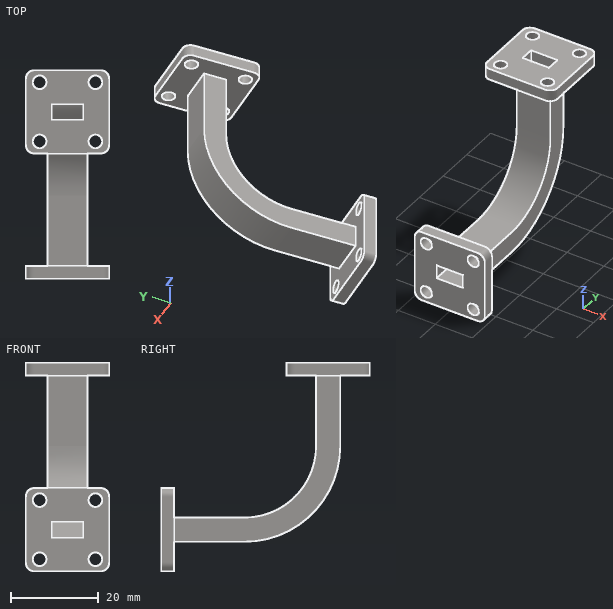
import cadquery as cq

flange_size = 19.05
flange_thickness = 3.0
corner_radius = 2.0
hole_diameter = 3.05
hole_pitch_wide = 12.7
hole_pitch_narrow = 13.5

guide_width = 9.15
guide_height = 5.55
bore_width = 7.15
bore_height = 3.55

overall_length = 47.6
bend_radius = 19.05
leg_end = overall_length - flange_size / 2
leg_length = leg_end - bend_radius


def swept_bar(width, height):
    """Rectangular bar following the bent centreline between the flange faces."""
    first_leg = cq.Workplane("XZ").rect(width, height).extrude(-leg_length)
    bend = (
        cq.Workplane("XZ", origin=(0, leg_length, 0))
        .rect(width, height)
        .revolve(90, (-0.5, bend_radius), (0.5, bend_radius))
    )
    second_leg = (
        cq.Workplane("XY", origin=(0, leg_end, bend_radius))
        .rect(width, height)
        .extrude(leg_length)
    )
    return first_leg.union(bend).union(second_leg)


def flange(plane, outer_face_center):
    """Rounded square flange with four bolt holes, extruded inward from its outer face."""
    inward = -flange_thickness
    body = (
        cq.Workplane(plane, origin=outer_face_center)
        .rect(flange_size, flange_size)
        .extrude(inward)
        .edges("|" + ("Z" if plane == "XY" else "Y"))
        .fillet(corner_radius)
    )
    holes = (
        cq.Workplane(plane, origin=outer_face_center)
        .rect(hole_pitch_wide, hole_pitch_narrow, forConstruction=True)
        .vertices()
        .circle(hole_diameter / 2)
        .extrude(inward)
    )
    return body.cut(holes)


front_flange = flange("XZ", (0, 0, 0))
top_flange = flange("XY", (0, leg_end, leg_end))

outer_tube = swept_bar(guide_width, guide_height)
bore = swept_bar(bore_width, bore_height)

result = outer_tube.union(front_flange).union(top_flange).cut(bore)